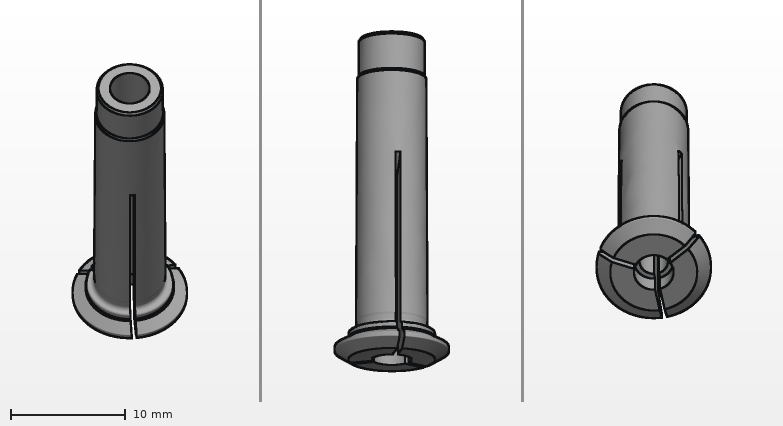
import cadquery as cq
import math

length = 29.0

foot_radius = 3.8
flange_radius = 10.0 / 2
rim_bottom = 0.75
rim_top = 1.15
rim_round = 0.1
step_radius = 3.8
cone_top_radius = 3.9
cone_top = 1.77
step_bottom = 1.95
step_top = 2.46
step_round = 0.17

body_bottom_radius = 3.13
body_top_radius = 6.05 / 2
neck_radius = 3.1
neck_fillet = 0.38
neck_top = 3.3
neck_lip_height = 0.17
body_top = 25.4

spigot_radius = 5.8 / 2
shoulder_height = 0.23
spigot_chamfer_width = 0.17
spigot_chamfer_height = 0.25

hole_radius = 2.5 / 2
bore_radius = 3.45 / 2
top_bore_depth = 8.7
bore_floor_angle = 30.0
foot_bore_depth = 2.0

slot_count = 3
slot_width = 0.44
slot_first_angle = 180.0
slot_inner_top = 16.2
slot_overrun = 0.3

arc_inset = 1 - math.sqrt(0.5)


def revolve_outline(outline):
    """Turn a closed radius-height outline about the Z axis."""
    return outline.close().revolve(360, (0, 0, 0), (0, 1, 0))


def make_body():
    """Flange, step, tapered body and spigot as one turned solid."""
    step_inset = step_round * arc_inset
    neck_inset = neck_fillet * arc_inset
    outline = (
        cq.Workplane("XZ")
        .lineTo(foot_radius, 0)
        .lineTo(flange_radius, rim_bottom)
        .lineTo(flange_radius, rim_top)
        .lineTo(cone_top_radius, cone_top)
        .lineTo(step_radius, step_bottom)
        .lineTo(step_radius, step_top - step_round)
        .threePointArc(
            (step_radius - step_inset, step_top - step_inset),
            (step_radius - step_round, step_top),
        )
        .lineTo(neck_radius + neck_fillet, step_top)
        .threePointArc(
            (neck_radius + neck_inset, step_top + neck_inset),
            (neck_radius, step_top + neck_fillet),
        )
        .lineTo(neck_radius, neck_top)
        .lineTo(body_bottom_radius, neck_top + neck_lip_height)
        .lineTo(body_top_radius, body_top)
        .lineTo(spigot_radius, body_top + shoulder_height)
        .lineTo(spigot_radius, length - spigot_chamfer_height)
        .lineTo(spigot_radius - spigot_chamfer_width, length)
        .lineTo(0, length)
    )
    body = revolve_outline(outline)
    rim_edges = cq.selectors.BoxSelector(
        (-length, -length, rim_bottom - rim_round),
        (length, length, rim_top + rim_round),
        boundingbox=True,
    )
    return body.edges(rim_edges).fillet(rim_round)


def make_bore():
    """Wide top bore with a conical floor, through hole and foot bore."""
    cone_base = length - top_bore_depth
    cone_height = (bore_radius - hole_radius) * math.tan(math.radians(bore_floor_angle))
    outline = (
        cq.Workplane("XZ")
        .lineTo(bore_radius, 0)
        .lineTo(bore_radius, foot_bore_depth)
        .lineTo(hole_radius, foot_bore_depth)
        .lineTo(hole_radius, cone_base - cone_height)
        .lineTo(bore_radius, cone_base)
        .lineTo(bore_radius, length)
        .lineTo(0, length)
    )
    return revolve_outline(outline)


def make_slot(angle):
    """One slot through the wall, open at the foot, with a sloping top end."""
    axis_top = slot_inner_top - hole_radius
    outer_radius = flange_radius + slot_overrun
    return (
        cq.Workplane("XZ")
        .lineTo(outer_radius, 0)
        .lineTo(outer_radius, axis_top + outer_radius)
        .lineTo(0, axis_top)
        .close()
        .extrude(slot_width / 2, both=True)
        .rotate((0, 0, 0), (0, 0, 1), angle)
    )


result = make_body().cut(make_bore())
for index in range(slot_count):
    result = result.cut(make_slot(slot_first_angle + index * 360 / slot_count))